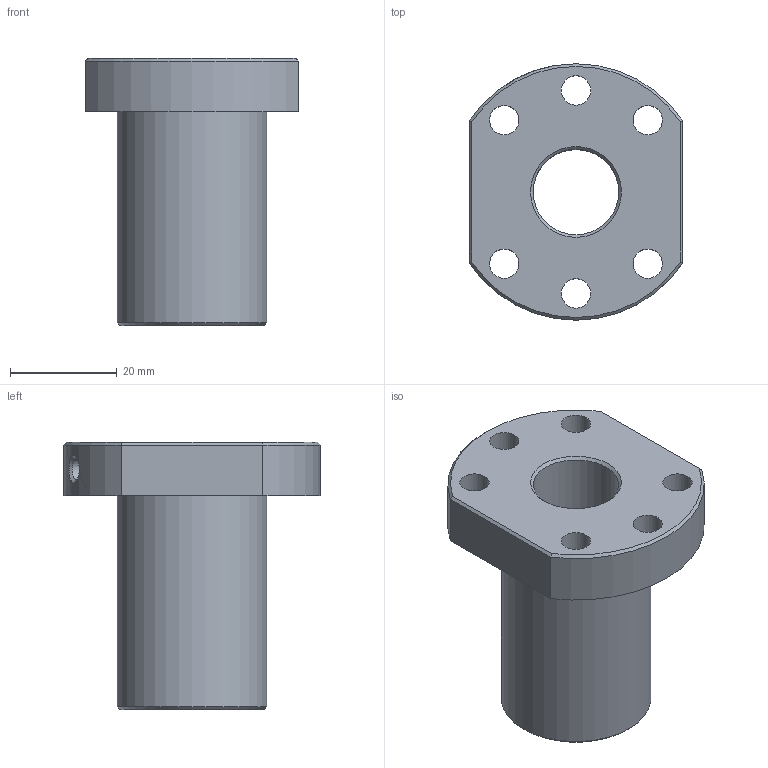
import cadquery as cq
import math

total_length = 50.0
body_diameter = 28.0
bore_diameter = 16.0
flange_diameter = 48.0
flange_width = 40.0
flange_thickness = 10.0
edge_chamfer = 0.5

bolt_hole_diameter = 5.5
bolt_circle_diameter = 38.0
bolt_pitch_angle = 45.0
bolt_group_angles = (90.0, 270.0)

oil_hole_diameter = 4.0
oil_mouth_diameter = 5.2
oil_hole_depth = 10.0
oil_port_angle = 90.0 + bolt_pitch_angle / 2


def make_flange():
    """Disc with two parallel flats and a chamfered outer face."""
    disc = cq.Workplane("XY").circle(flange_diameter / 2).extrude(-flange_thickness)
    flats = cq.Workplane("XY").rect(flange_width, flange_diameter).extrude(-flange_thickness)
    return disc.intersect(flats).faces(">Z").chamfer(edge_chamfer)


def make_body():
    """Cylindrical nut body with a chamfered free end."""
    body = cq.Workplane("XY").circle(body_diameter / 2).extrude(-total_length)
    return body.faces("<Z").chamfer(edge_chamfer)


def make_bore():
    """Through bore that widens in a chamfer at both ends."""
    bore_radius = bore_diameter / 2
    mouth_radius = bore_radius + edge_chamfer
    return (
        cq.Workplane("XZ")
        .moveTo(0, 0)
        .lineTo(mouth_radius, 0)
        .lineTo(bore_radius, -edge_chamfer)
        .lineTo(bore_radius, -total_length + edge_chamfer)
        .lineTo(mouth_radius, -total_length)
        .lineTo(0, -total_length)
        .close()
        .revolve(360, (0, 0, 0), (0, 1, 0))
    )


def make_bolt_holes():
    """Through holes of both bolt groups."""
    centres = []
    for group_angle in bolt_group_angles:
        for step in (-1, 0, 1):
            angle = math.radians(group_angle + step * bolt_pitch_angle)
            radius = bolt_circle_diameter / 2
            centres.append((radius * math.cos(angle), radius * math.sin(angle)))
    return (
        cq.Workplane("XY")
        .pushPoints(centres)
        .circle(bolt_hole_diameter / 2)
        .extrude(-flange_thickness)
    )


def make_oil_port():
    """Blind radial hole with a conical mouth at the flange rim."""
    rim_radius = flange_diameter / 2
    hole_radius = oil_hole_diameter / 2
    mouth_radius = oil_mouth_diameter / 2
    mouth_depth = mouth_radius - hole_radius
    port = (
        cq.Workplane("XY")
        .moveTo(rim_radius - oil_hole_depth, 0)
        .lineTo(rim_radius - oil_hole_depth, hole_radius)
        .lineTo(rim_radius - mouth_depth, hole_radius)
        .lineTo(rim_radius, mouth_radius)
        .lineTo(rim_radius, 0)
        .close()
        .revolve(360, (0, 0, 0), (1, 0, 0))
    )
    return port.rotate((0, 0, 0), (0, 0, 1), oil_port_angle).translate((0, 0, -flange_thickness / 2))


result = (
    make_flange()
    .union(make_body())
    .cut(make_bore())
    .cut(make_bolt_holes())
    .cut(make_oil_port())
)